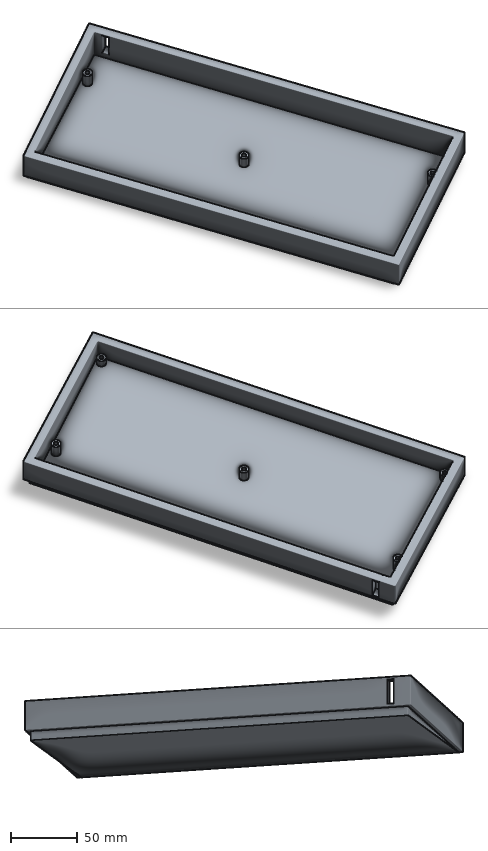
import cadquery as cq
import math

length = 304.0
width = 137.0
front_height = 22.8
tilt_angle = 3.0

wall = 7.0
floor_top = 4.0

edge_radius = 0.5
corner_radius = 1.0

foot_side_inset = 3.3
foot_back_inset = 3.5

post_diameter = 7.3
post_hole_diameter = 3.3
post_hole_depth = 7.5
post_drop = 12.8
back_post_x = 139.5
back_post_y = 33.5
front_post_x = 140.0
front_post_y = -57.0

opening_width = 5.2
opening_center_x = -136.0
opening_bottom = 9.0
opening_top = 28.0

half_width = width / 2
slope = math.tan(math.radians(tilt_angle))


def underside_height(y):
    """Height of the sloping underside of the case at a given y."""
    return slope * (y + half_width)


def rim_height(y):
    """Height of the sloping rim at a given y."""
    return front_height + underside_height(y)


def side_prism(profile, x_length):
    """Extrude a (y, z) outline along X, centred on X = 0."""
    return cq.Workplane("YZ").polyline(profile).close().extrude(x_length / 2, both=True)


def make_case():
    """Tilted block with rounded corners and a rounded underside."""
    outline = [
        (-half_width, underside_height(-half_width)),
        (half_width, underside_height(half_width)),
        (half_width, rim_height(half_width)),
        (-half_width, rim_height(-half_width)),
    ]
    block = side_prism(outline, length).edges("|Z").fillet(corner_radius)
    return block.faces("<Z").edges().fillet(edge_radius)


def make_foot():
    """Wedge between the sloping underside and the ground plane."""
    foot_back = half_width - foot_back_inset
    outline = [(-half_width, 0), (foot_back, 0), (foot_back, underside_height(foot_back))]
    return side_prism(outline, length - 2 * foot_side_inset).edges("|Z").fillet(corner_radius)


def cut_cavity(body):
    """Hollow the case from above down to a level floor."""
    cavity = (
        cq.Workplane("XY", origin=(0, 0, floor_top))
        .rect(length - 2 * wall, width - 2 * wall)
        .extrude(rim_height(half_width))
        .edges("|Z")
        .fillet(corner_radius)
    )
    return body.cut(cavity)


def round_rim(body):
    """Round the outer and inner edges of the sloping rim."""
    rim_direction = cq.Vector(0, -slope, 1)
    rim = body.faces(cq.selectors.DirectionMinMaxSelector(rim_direction, True))
    return rim.edges().fillet(edge_radius)


def cut_opening(body):
    """Cut the cable opening and round its edge on the inner face of the back wall."""
    inner_face_y = half_width - wall
    opening = cq.Workplane("XY").box(
        opening_width, 2 * wall, opening_top - opening_bottom
    ).translate((opening_center_x, half_width, (opening_top + opening_bottom) / 2))
    body = body.cut(opening)
    margin = edge_radius / 4
    opening_edges = cq.selectors.BoxSelector(
        (opening_center_x - opening_width, inner_face_y - margin, opening_bottom - margin),
        (opening_center_x + opening_width, inner_face_y + margin, opening_top + margin),
    )
    return body.edges(opening_edges).fillet(edge_radius)


def add_post(body, x, y):
    """Add a hollow post whose sloping top lies parallel to the rim."""
    top = rim_height(y) - post_drop
    reach = post_diameter
    below_top = side_prism(
        [
            (y - reach, 0),
            (y + reach, 0),
            (y + reach, top + slope * reach),
            (y - reach, top - slope * reach),
        ],
        2 * length,
    )
    post = (
        cq.Workplane("XY", origin=(x, y, floor_top / 2))
        .circle(post_diameter / 2)
        .extrude(front_height)
        .intersect(below_top)
    )
    hole = (
        cq.Workplane("XY", origin=(x, y, top - post_hole_depth))
        .circle(post_hole_diameter / 2)
        .extrude(front_height)
    )
    return body.union(post).cut(hole)


post_places = [
    (-back_post_x, back_post_y),
    (back_post_x, back_post_y),
    (0, 0),
    (-front_post_x, front_post_y),
    (front_post_x, front_post_y),
]

result = make_case().union(make_foot())
result = cut_cavity(result)
result = round_rim(result)
result = cut_opening(result)
for post_x, post_y in post_places:
    result = add_post(result, post_x, post_y)